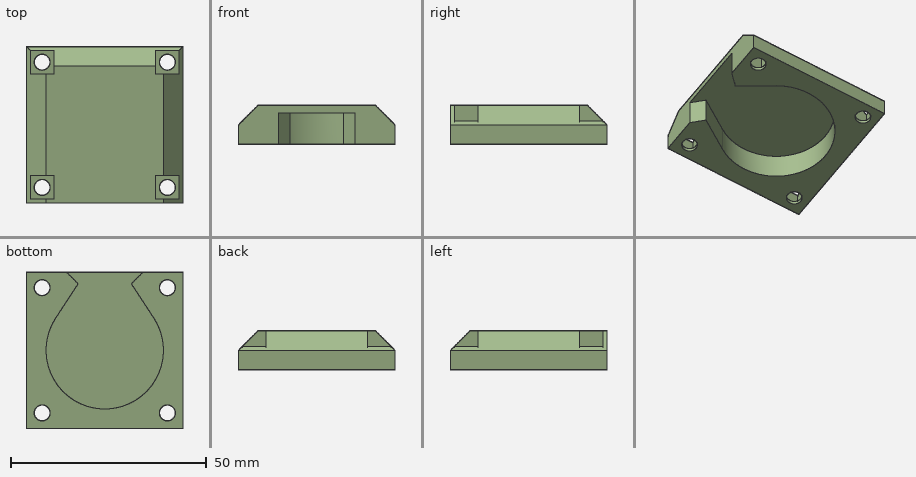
import cadquery as cq
import math

side = 40.0
height = 10.0
edge_chamfer = 5.0

hole_diameter = 4.0
hole_inset = 4.0
recess_side = 6.0
recess_floor = 1.0

roof_thickness = 2.0
cavity_depth = height - roof_thickness
cavity_radius = 15.0
mouth_width = 19.6
mouth_bevel = 3.0

center = side / 2


def chamfered_plate():
    """Square plate with its top edges bevelled on every side but the front."""
    plate = cq.Workplane("XY").box(side, side, height, centered=False)
    return plate.faces(">Z").edges("<X or >X or >Y").chamfer(edge_chamfer)


def cavity():
    """Disc with a neck that narrows at 45 degrees, then flares tangentially into the disc."""
    mouth_half = mouth_width / 2
    throat_half = mouth_half - mouth_bevel

    throat_drop = center - mouth_bevel
    throat_distance = math.hypot(throat_half, throat_drop)
    throat_angle = math.atan2(-throat_drop, throat_half)
    tangent_angle = throat_angle + math.acos(cavity_radius / throat_distance)
    tangent_x = cavity_radius * math.cos(tangent_angle)
    tangent_y = center + cavity_radius * math.sin(tangent_angle)

    return (
        cq.Workplane("XY")
        .moveTo(center - mouth_half, 0)
        .lineTo(center + mouth_half, 0)
        .lineTo(center + throat_half, mouth_bevel)
        .lineTo(center + tangent_x, tangent_y)
        .threePointArc((center, center + cavity_radius), (center - tangent_x, tangent_y))
        .lineTo(center - throat_half, mouth_bevel)
        .close()
        .extrude(cavity_depth)
    )


def corner_fastener_cuts():
    """Through holes and square recesses at the four corners."""
    spacing = side - 2 * hole_inset
    corners = cq.Workplane("XY", origin=(center, center, 0)).rarray(spacing, spacing, 2, 2)
    holes = corners.circle(hole_diameter / 2).extrude(height)
    recesses = (
        cq.Workplane("XY", origin=(center, center, recess_floor))
        .rarray(spacing, spacing, 2, 2)
        .rect(recess_side, recess_side)
        .extrude(height - recess_floor)
    )
    return holes.union(recesses)


result = chamfered_plate().cut(cavity()).cut(corner_fastener_cuts())